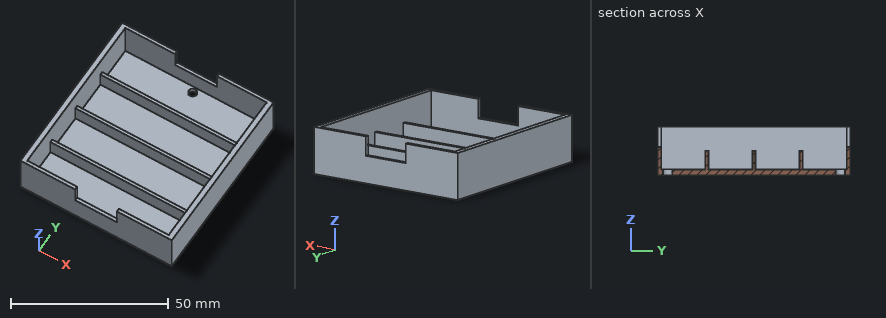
import cadquery as cq

LENGTH_X = 56.8
WIDTH_Y = 61.3
HEIGHT = 15.5

SIDE_WALL = 1.9
END_WALL = 1.2
FLOOR = 1.9
CAVITY_X = LENGTH_X - 2 * SIDE_WALL
CAVITY_Y = WIDTH_Y - 2 * END_WALL

COMPARTMENTS = 4
DIVIDER_THICKNESS = 1.1
DIVIDER_HEIGHT = 6.0
COMPARTMENT_Y = (CAVITY_Y - (COMPARTMENTS - 1) * DIVIDER_THICKNESS) / COMPARTMENTS
DIVIDER_PITCH = COMPARTMENT_Y + DIVIDER_THICKNESS

NOTCH_WIDTH = 15.7
NOTCH_DEPTH = 6.4

HOLE_DIAMETER = 2.9
HOLE_SPACING = 55.0


def standing_box(size_x, size_y, size_z, base_z):
    """Box centred on X and Y, standing on the height base_z."""
    return cq.Workplane("XY").workplane(offset=base_z).box(
        size_x, size_y, size_z, centered=(True, True, False)
    )


def make_shell():
    """Open-topped box."""
    cavity = standing_box(CAVITY_X, CAVITY_Y, HEIGHT - FLOOR, FLOOR)
    return standing_box(LENGTH_X, WIDTH_Y, HEIGHT, 0).cut(cavity)


def add_dividers(body):
    """Low ribs across the cavity, joined to both side walls and the floor."""
    divider = standing_box(LENGTH_X, DIVIDER_THICKNESS, FLOOR + DIVIDER_HEIGHT, 0)
    middle = (COMPARTMENTS - 2) / 2
    for index in range(COMPARTMENTS - 1):
        offset_y = (index - middle) * DIVIDER_PITCH
        body = body.union(divider.translate((0, offset_y, 0)))
    return body


def cut_end_notches(body):
    """Rectangular notch through the rim of both end walls."""
    return body.cut(standing_box(NOTCH_WIDTH, WIDTH_Y, NOTCH_DEPTH, HEIGHT - NOTCH_DEPTH))


def drill_floor_holes(body):
    """One through hole beside each end wall."""
    holes = (
        cq.Workplane("XY")
        .pushPoints([(0, -HOLE_SPACING / 2), (0, HOLE_SPACING / 2)])
        .circle(HOLE_DIAMETER / 2)
        .extrude(FLOOR)
    )
    return body.cut(holes)


result = drill_floor_holes(cut_end_notches(add_dividers(make_shell())))